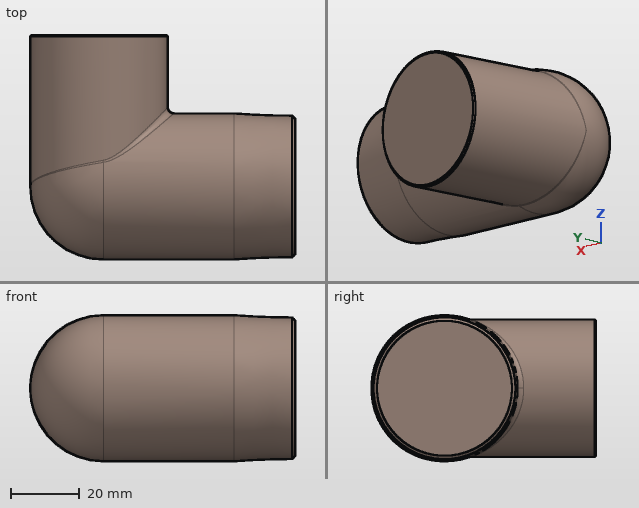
import cadquery as cq

body_diameter = 42.5
body_radius = body_diameter / 2
overall_x = 77.0
body_length = 38.0
run_end_x = overall_x - body_radius
spigot_drop = 0.65
spigot_chamfer = 1.0

branch_diameter = 40.0
branch_radius = branch_diameter / 2
branch_axis_x = branch_radius - body_radius
overall_y = 65.25
branch_length = overall_y - body_radius
branch_chamfer = 0.5

joint_fillet = 1.75

tip_slice = 0.25


def main_run():
    """Solid of revolution about X, with the cap centred on the origin."""
    spigot_radius = body_radius - spigot_drop
    chamfer_x = run_end_x - spigot_chamfer
    diagonal = body_radius * 0.5**0.5
    halfway_drop = 0.75 * spigot_drop
    arc_middle = ((body_length + chamfer_x) / 2, body_radius - halfway_drop)
    return (
        cq.Workplane("XY")
        .moveTo(-body_radius, 0)
        .threePointArc((-diagonal, diagonal), (0, body_radius))
        .lineTo(body_length, body_radius)
        .threePointArc(arc_middle, (chamfer_x, spigot_radius))
        .lineTo(run_end_x, spigot_radius - spigot_chamfer)
        .lineTo(run_end_x, 0)
        .close()
        .revolve(360, (0, 0), (1, 0))
    )


def branch():
    """Cylinder along +Y with a chamfered free end."""
    return (
        cq.Workplane("XZ")
        .center(branch_axis_x, 0)
        .circle(branch_radius)
        .extrude(-branch_length)
        .faces(">Y")
        .chamfer(branch_chamfer)
    )


def fillet_joint(elbow):
    """Round the corner where the branch meets the run.

    The corner fades out at the leftmost point of the cap, where no fillet can be
    built, so a thin slice there is set aside and joined on again afterwards.
    """
    slice_x = tip_slice - body_radius
    block_size = 2 * overall_x
    block = cq.Workplane("XY").box(block_size, block_size, block_size)
    rest = elbow.intersect(block.translate((slice_x + block_size / 2, 0, 0)))
    tip = elbow.intersect(block.translate((slice_x - block_size / 2, 0, 0)))
    return rest.edges("%BSPLINE").fillet(joint_fillet).union(tip)


result = fillet_joint(main_run().union(branch()))